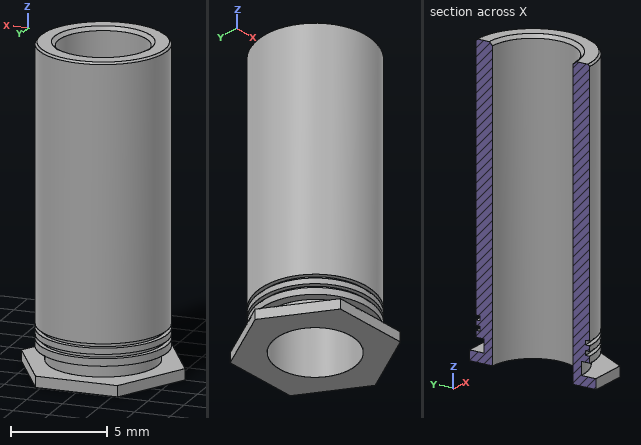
import cadquery as cq
import math

total_height = 18
hex_across_flats = 7.9
hex_thickness = 0.63

bore_diameter = 5.0
neck_diameter = 6.1
groove_diameter = 6.6
body_diameter = 7.13

neck_top = 1.39
lower_groove_bottom = 1.8
lower_groove_top = 2.03
upper_groove_bottom = 2.38
upper_groove_top = 2.61

rim_chamfer = 0.1
bore_chamfer = 0.2


def cylinder(diameter, bottom, top):
    """Solid cylinder on the Z axis between two heights."""
    return cq.Workplane("XY").workplane(offset=bottom).circle(diameter / 2).extrude(top - bottom)


def cut_groove(solid, diameter, bottom, top):
    """Turn the body down to the given diameter between two heights."""
    ring = cylinder(body_diameter, bottom, top).cut(cylinder(diameter, bottom, top))
    return solid.cut(ring)


hex_across_corners = hex_across_flats / math.cos(math.pi / 6)
head = cq.Workplane("XY").polygon(6, hex_across_corners).extrude(hex_thickness)

body = cylinder(body_diameter, hex_thickness, total_height)
body = body.faces(">Z").edges().chamfer(rim_chamfer)

grooves = [
    (neck_diameter, hex_thickness, neck_top),
    (groove_diameter, lower_groove_bottom, lower_groove_top),
    (groove_diameter, upper_groove_bottom, upper_groove_top),
]
for diameter, bottom, top in grooves:
    body = cut_groove(body, diameter, bottom, top)

bored = head.union(body).cut(cylinder(bore_diameter, 0, total_height))
result = bored.faces(">Z").edges("%CIRCLE").edges(cq.selectors.RadiusNthSelector(0)).chamfer(bore_chamfer)